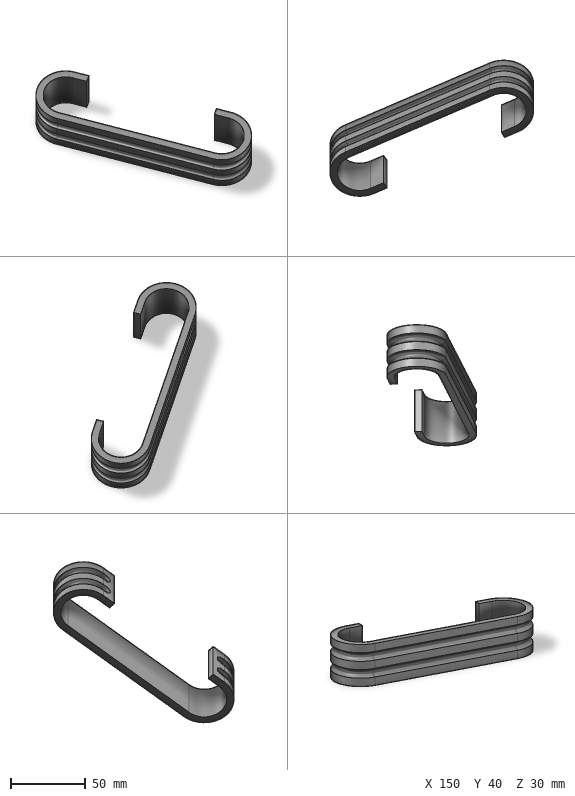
import cadquery as cq

length = 150.0
depth = 40.0
height = 30.0
wall = 5.0
lip_length = 10.0
groove_radius = 3.0
groove_offset = 6.0
runout_radius = 5.0

bend_radius = depth / 2
bend_x = length / 2 - bend_radius
lip_x = bend_x - lip_length


def make_strip():
    """C-shaped strip: a straight back, two half-round bends and two lips."""
    inner_radius = bend_radius - wall
    return (
        cq.Workplane("XY")
        .workplane(offset=-height / 2)
        .moveTo(-lip_x, bend_radius)
        .lineTo(-bend_x, bend_radius)
        .threePointArc((-length / 2, 0), (-bend_x, -bend_radius))
        .lineTo(bend_x, -bend_radius)
        .threePointArc((length / 2, 0), (bend_x, bend_radius))
        .lineTo(lip_x, bend_radius)
        .lineTo(lip_x, inner_radius)
        .lineTo(bend_x, inner_radius)
        .threePointArc((bend_x + inner_radius, 0), (bend_x, -inner_radius))
        .lineTo(-bend_x, -inner_radius)
        .threePointArc((-bend_x - inner_radius, 0), (-bend_x, inner_radius))
        .lineTo(-lip_x, inner_radius)
        .close()
        .extrude(height)
    )


def make_groove_cutter(z):
    """Round bar along the back and bends, curving outward through the lips at both ends."""
    path = (
        cq.Workplane("XY")
        .workplane(offset=z)
        .moveTo(-bend_x + runout_radius, bend_radius + runout_radius)
        .radiusArc((-bend_x, bend_radius), runout_radius)
        .threePointArc((-length / 2, 0), (-bend_x, -bend_radius))
        .lineTo(bend_x, -bend_radius)
        .threePointArc((length / 2, 0), (bend_x, bend_radius))
        .radiusArc((bend_x - runout_radius, bend_radius + runout_radius), runout_radius)
    )
    start = (-bend_x + runout_radius, bend_radius + runout_radius, z)
    section = cq.Workplane("XZ", origin=start).circle(groove_radius)
    return section.sweep(path)


result = make_strip()
for groove_z in (-groove_offset, groove_offset):
    result = result.cut(make_groove_cutter(groove_z))